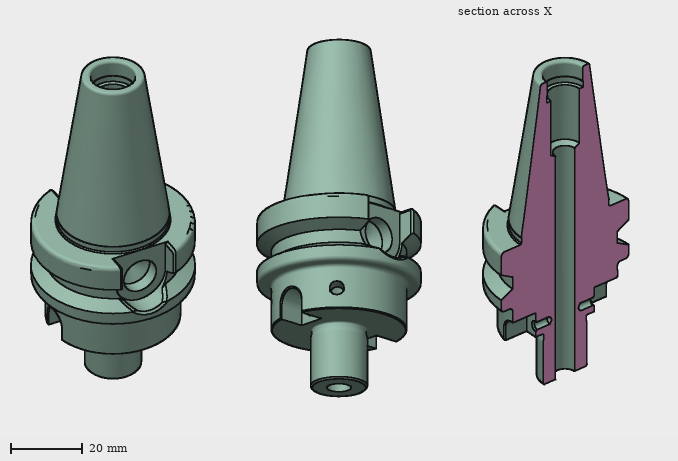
import cadquery as cq
import math

total_height = 100.4
arbor_length = 17.0
flange_bottom = 30.0
flange_top = 50.0
gauge_plane = 52.2

taper_ratio = 7 / 24
gauge_radius = 31.7 / 2
taper_top_radius = gauge_radius - taper_ratio * (total_height - gauge_plane) / 2
taper_top_round = 0.9
neck_radius = 31.5 / 2
neck_base_chamfer = 0.4

flange_radius = 46.0 / 2
flange_round = 1.2
groove_radius = 38.0 / 2
groove_middle = 38.4
groove_floor_width = 3.8
groove_mouth_width = 8.2
groove_low = groove_middle - groove_floor_width / 2
groove_high = groove_middle + groove_floor_width / 2
groove_side_height = (groove_mouth_width - groove_floor_width) / 2

body_radius = groove_radius
body_fillet = 1.0
body_chamfer = 0.3
arbor_radius = 16.0 / 2
arbor_chamfer = 0.5
relief_radius = 15.4 / 2
relief_bottom = 15.7
relief_taper_length = 1.3
relief_fillet = 0.5

bore_radius = 12.5 / 2
bore_mouth_round = 0.8
bore_depth = 5.0
undercut_radius = 12.9 / 2
undercut_length = 2.0
thread_hole_radius = 10.2 / 2
thread_hole_depth = 25.1
through_hole_radius = 6.8 / 2
drill_tip_angle = 118.0

pocket_half_width = 8.0
pocket_floor_distance = 16.3
pocket_center_z = 41.1
pocket_chamfer = 0.7
pocket_hole_radius = 10.2 / 2
pocket_hole_depth = 4.0

slot_half_width = 4.0
slot_center_z = 21.0
slot_floor_distance = 10.5
slot_chamfer = 0.4
screw_hole_radius = 2.4 / 2
screw_hole_mouth_radius = 3.4 / 2
screw_hole_depth = 5.0
screw_hole_z = 20.6

spanner_hole_radius = 4.0 / 2
spanner_hole_depth = 5.0
spanner_hole_z = 23.0
spanner_hole_angle = 135.0

margin = 0.01


def drill_tip_length(radius):
    """Height of the cone left by a drill of the given radius."""
    return radius / math.tan(math.radians(drill_tip_angle / 2))


def make_turned_body():
    """Revolve the outer profile of taper, flange, body and arbor."""
    outline = (
        cq.Workplane("XZ")
        .moveTo(0, 0)
        .lineTo(arbor_radius - arbor_chamfer, 0)
        .lineTo(arbor_radius, arbor_chamfer)
        .lineTo(arbor_radius, relief_bottom - relief_taper_length)
        .lineTo(relief_radius, relief_bottom)
        .lineTo(relief_radius, arbor_length - relief_fillet)
        .radiusArc((relief_radius + relief_fillet, arbor_length), relief_fillet)
        .lineTo(body_radius - body_chamfer, arbor_length)
        .lineTo(body_radius, arbor_length + body_chamfer)
        .lineTo(body_radius, flange_bottom - body_fillet)
        .radiusArc((body_radius + body_fillet, flange_bottom), body_fillet)
        .lineTo(flange_radius - flange_round, flange_bottom)
        .radiusArc((flange_radius, flange_bottom + flange_round), -flange_round)
        .lineTo(flange_radius, groove_low - groove_side_height)
        .lineTo(groove_radius, groove_low)
        .lineTo(groove_radius, groove_high)
        .lineTo(flange_radius, groove_high + groove_side_height)
        .lineTo(flange_radius, flange_top - flange_round)
        .radiusArc((flange_radius - flange_round, flange_top), -flange_round)
        .lineTo(neck_radius + neck_base_chamfer, flange_top)
        .lineTo(neck_radius, flange_top + neck_base_chamfer)
        .lineTo(neck_radius, gauge_plane)
        .lineTo(gauge_radius, gauge_plane)
        .lineTo(taper_top_radius, total_height)
        .lineTo(0, total_height)
        .close()
    )
    turned = outline.revolve(360, (0, 0, 0), (0, 1, 0))
    return turned.faces(">Z").edges().fillet(taper_top_round)


def make_bore():
    """Revolve the stepped bore that runs through the whole part."""
    bore_end = total_height - bore_depth
    bore_floor = bore_end - undercut_length
    thread_floor = total_height - thread_hole_depth
    cone_length = drill_tip_length(thread_hole_radius) - drill_tip_length(through_hole_radius)
    return (
        cq.Workplane("XZ")
        .moveTo(0, 0)
        .lineTo(through_hole_radius, 0)
        .lineTo(through_hole_radius, thread_floor - cone_length)
        .lineTo(thread_hole_radius, thread_floor)
        .lineTo(thread_hole_radius, bore_floor)
        .lineTo(undercut_radius, bore_floor)
        .lineTo(undercut_radius, bore_end)
        .lineTo(bore_radius, bore_end)
        .lineTo(bore_radius, total_height - bore_mouth_round)
        .radiusArc((bore_radius + bore_mouth_round, total_height), bore_mouth_round)
        .lineTo(0, total_height)
        .close()
        .revolve(360, (0, 0, 0), (0, 1, 0))
    )


def make_blind_hole(radius, depth, mouth_radius=None):
    """Drilled hole along -Z from the origin, with a conical tip and an optional 45 degree mouth."""
    outline = cq.Workplane("XZ")
    if mouth_radius is not None:
        outline = outline.lineTo(mouth_radius, 0)
        outline = outline.lineTo(radius, radius - mouth_radius)
    else:
        outline = outline.lineTo(radius, 0)
    return (
        outline.lineTo(radius, -depth)
        .lineTo(0, -depth - drill_tip_length(radius))
        .close()
        .revolve(360, (0, 0, 0), (0, 1, 0))
    )


def aim_outward(tool, distance, height, angle):
    """Turn a tool's +Z to point radially outward at the given angle about Z and move it there."""
    return (
        tool.rotate((0, 0, 0), (0, 1, 0), 90)
        .translate((distance, 0, height))
        .rotate((0, 0, 0), (0, 0, 1), angle)
    )


def make_round_ended_prism(half_width, straight_length, depth):
    """Prism along +Z: a half disc around the origin, extended straight toward -X."""
    return (
        cq.Workplane("XY")
        .moveTo(0, half_width)
        .threePointArc((half_width, 0), (0, -half_width))
        .lineTo(-straight_length, -half_width)
        .lineTo(-straight_length, half_width)
        .close()
        .extrude(depth)
    )


def is_pocket_rim(edge):
    """Pocket edges on the flange rim and on the lower groove flank, none on the upper flank."""
    middle = edge.Center()
    beyond_groove_floor = abs(middle.x) > pocket_floor_distance + pocket_chamfer
    within_pocket = abs(middle.y) < pocket_half_width + margin
    above_groove = middle.z > groove_middle + groove_mouth_width / 2
    below_groove_floor = pocket_center_z - pocket_half_width < middle.z < groove_low
    return beyond_groove_floor and within_pocket and (above_groove or below_groove_floor)


def is_slot_rim(edge):
    """Slot edges on the cylindrical face of the body."""
    middle = edge.Center()
    near_surface = abs(middle.y) > body_radius - body_chamfer - slot_chamfer
    within_slot = abs(middle.x) < slot_half_width + margin
    in_height = arbor_length + body_chamfer < middle.z < slot_center_z + slot_half_width
    return near_surface and within_slot and in_height


def chamfer_matching(body, is_wanted, size):
    """Chamfer every edge of the body that passes the test."""
    return body.newObject(list(filter(is_wanted, body.edges().vals()))).chamfer(size)


result = make_turned_body()

pocket = make_round_ended_prism(pocket_half_width, flange_top - pocket_center_z, flange_radius)
pocket_hole = make_blind_hole(pocket_hole_radius, pocket_hole_depth)
for angle in (0, 180):
    result = result.cut(aim_outward(pocket, pocket_floor_distance, pocket_center_z, angle))
    result = result.cut(aim_outward(pocket_hole, pocket_floor_distance, pocket_center_z, angle))
result = chamfer_matching(result, is_pocket_rim, pocket_chamfer)

slot = make_round_ended_prism(slot_half_width, slot_center_z - arbor_length, body_radius)
slot = slot.rotate((0, 0, 0), (0, 0, 1), 180)
screw_hole = make_blind_hole(screw_hole_radius, screw_hole_depth, screw_hole_mouth_radius)
for angle in (-90, 90):
    result = result.cut(aim_outward(slot, slot_floor_distance, slot_center_z, angle))
    result = result.cut(aim_outward(screw_hole, slot_floor_distance, screw_hole_z, angle))
result = chamfer_matching(result, is_slot_rim, slot_chamfer)

spanner_hole = make_blind_hole(spanner_hole_radius, spanner_hole_depth)
result = result.cut(aim_outward(spanner_hole, body_radius, spanner_hole_z, spanner_hole_angle))

result = result.cut(make_bore())